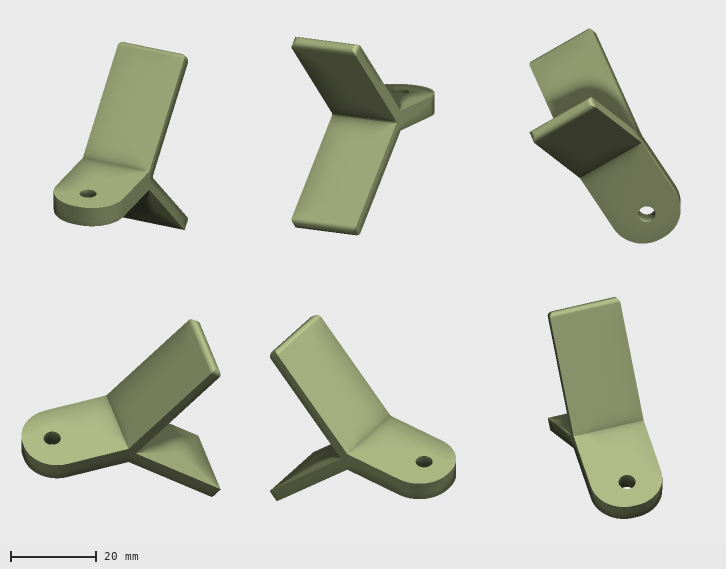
import cadquery as cq

width = 17.0

tab_length = 25.0
tab_thickness = 4.8
tab_corner_radius = 8.0
hole_diameter = 4.0
hole_to_tip = 7.0

wing_length = 30.0
wing_thickness = 3.0
wing_angle = 45.0
wing_tip_radius = 1.2

root_inset = 0.08
root_height = 0.09


def make_tab():
    """Flat tab with two rounded front corners and a through hole."""
    tab = (
        cq.Workplane("XY")
        .box(width, tab_length, tab_thickness)
        .translate((0, -tab_length / 2, 0))
        .edges("|Z and <Y")
        .fillet(tab_corner_radius)
    )
    hole = (
        cq.Workplane("XY")
        .center(0, hole_to_tip - tab_length)
        .circle(hole_diameter / 2)
        .extrude(tab_thickness / 2, both=True)
    )
    return tab.cut(hole)


def make_upper_wing():
    """Flat plate with all four tip edges rounded, tilted upward about its root corner."""
    plate = (
        cq.Workplane("XY")
        .box(width, wing_length, wing_thickness)
        .translate((0, wing_length / 2, wing_thickness / 2))
        .faces(">Y")
        .edges()
        .fillet(wing_tip_radius)
    )
    tilted = plate.rotate((0, 0, 0), (1, 0, 0), wing_angle)
    return tilted.translate((0, -root_inset, root_height))


upper_wing = make_upper_wing()
lower_wing = upper_wing.mirror("XY")

result = make_tab().union(upper_wing).union(lower_wing)